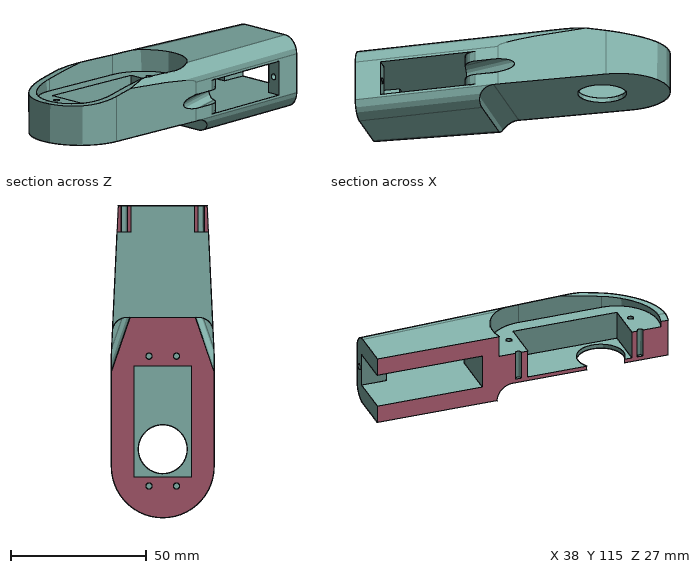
import cadquery as cq
import math

length = 115.0
width = 38.0
height = 27.0
end_radius = width / 2
front_y = -end_radius
back_y = length - end_radius
back_half_width = 16.5
taper_start_y = 41.2
edge_radius = 6.1
mid_z = height / 2
lip_z = height - edge_radius

slope_points = [(0, 23.3), (10.5, 25.6), (19.5, height)]
slope_end_direction = (1, 0.1)

seat_radius = 16.1
seat_back_center_y = 32.8
seat_floor_z = 18.7
servo_half_width = 10.6
servo_front_y = -3.9
servo_back_y = 36.9
servo_floor_z = 7.8
horn_hole_y = 6.3
horn_hole_radius = 9.0
screw_diameter = 2.2
screw_x = 5.1
screw_y_positions = (-7.2, 40.6)

window_front_y = 54.9
window_back_y = 86.2
window_height = 12.9
window_corner_radius = 5.4
cavity_half_width = 11.6
rear_screw_x = 14.1

groove_radius = 2.6
groove_angle = 19.0
groove_tip_y = 34.8
groove_length = 25.3
groove_opening_depth = 9.2

underside_step_y = 48.9

taper = (end_radius - back_half_width) / (back_y - taper_start_y)


def tapered_half_width(y):
    return back_half_width + taper * (back_y - y)


def make_body():
    front_half = tapered_half_width(front_y)
    plan = [
        (-front_half, front_y),
        (front_half, front_y),
        (back_half_width, back_y),
        (-back_half_width, back_y),
    ]
    bar = cq.Workplane("XY").polyline(plan).close().extrude(height)
    long_edges = bar.faces("<Z or >Z").edges("not |X")
    bar = long_edges.fillet(edge_radius)
    outline = (
        cq.Workplane("XY")
        .moveTo(-end_radius, 0)
        .threePointArc((0, front_y), (end_radius, 0))
        .lineTo(end_radius, taper_start_y)
        .lineTo(back_half_width, back_y)
        .lineTo(-back_half_width, back_y)
        .lineTo(-end_radius, taper_start_y)
        .close()
        .extrude(height)
    )
    return bar.intersect(outline)


def make_slope_cut():
    return (
        cq.Workplane("YZ")
        .moveTo(front_y, lip_z)
        .spline(slope_points, tangents=[(1, 0), slope_end_direction], includeCurrent=True)
        .lineTo(front_y, height)
        .close()
        .extrude(end_radius, both=True)
    )


def make_underside_cut():
    """Step below the front half, ending in a quarter-round."""
    arc_center_y = underside_step_y - edge_radius
    diagonal = edge_radius * math.sqrt(0.5)
    return (
        cq.Workplane("YZ")
        .moveTo(front_y, 0)
        .lineTo(underside_step_y, 0)
        .threePointArc((arc_center_y + diagonal, diagonal), (arc_center_y, edge_radius))
        .lineTo(front_y, edge_radius)
        .close()
        .extrude(width, both=True)
    )


def make_seat_cut():
    seat = (
        cq.Workplane("XY", origin=(0, seat_back_center_y / 2, seat_floor_z))
        .slot2D(seat_back_center_y + 2 * seat_radius, 2 * seat_radius, 90)
        .extrude(height - seat_floor_z)
    )
    servo = (
        cq.Workplane("XY", origin=(0, (servo_front_y + servo_back_y) / 2, servo_floor_z))
        .rect(2 * servo_half_width, servo_back_y - servo_front_y)
        .extrude(height - servo_floor_z)
    )
    horn_hole = cq.Workplane("XY").center(0, horn_hole_y).circle(horn_hole_radius).extrude(height)
    screw_points = [(side * screw_x, y) for side in (-1, 1) for y in screw_y_positions]
    screws = (
        cq.Workplane("XY", origin=(0, 0, servo_floor_z))
        .pushPoints(screw_points)
        .circle(screw_diameter / 2)
        .extrude(height - servo_floor_z)
    )
    return seat.union(servo).union(horn_hole).union(screws)


def make_rear_cavity():
    """Cross opening whose front corners flare out to the side faces."""
    flare_y = window_front_y - window_corner_radius
    side_x = tapered_half_width(flare_y)
    inner_x = side_x - window_corner_radius
    diagonal = window_corner_radius * math.sqrt(0.5)
    middle = (inner_x + diagonal, flare_y + diagonal)
    plan = (
        cq.Workplane("XY", origin=(0, 0, mid_z - window_height / 2))
        .moveTo(-inner_x, window_front_y)
        .lineTo(inner_x, window_front_y)
        .threePointArc(middle, (side_x, flare_y))
        .lineTo(width, flare_y)
        .lineTo(width, window_back_y)
        .lineTo(cavity_half_width, window_back_y)
        .lineTo(cavity_half_width, back_y)
        .lineTo(-cavity_half_width, back_y)
        .lineTo(-cavity_half_width, window_back_y)
        .lineTo(-width, window_back_y)
        .lineTo(-width, flare_y)
        .lineTo(-side_x, flare_y)
        .threePointArc((-middle[0], middle[1]), (-inner_x, window_front_y))
        .close()
    )
    cavity = plan.extrude(window_height)
    for side in (-1, 1):
        screw_start = cq.Vector(side * rear_screw_x, window_back_y, mid_z)
        screw = cq.Solid.makeCylinder(
            screw_diameter / 2, back_y - window_back_y, screw_start, cq.Vector(0, 1, 0)
        )
        cavity = cavity.union(cq.Workplane(screw))
    return cavity


def make_groove(side):
    """Round-bottomed channel sinking rearward, its deepest line meeting the side at the tip."""
    angle = math.radians(groove_angle)
    direction = cq.Vector(-side * math.sin(angle), math.cos(angle), 0)
    outward = cq.Vector(side * math.cos(angle), math.sin(angle), 0)
    tip = cq.Vector(side * end_radius, groove_tip_y, mid_z)
    start = tip + outward * groove_radius - direction * groove_radius
    channel_plane = cq.Plane(origin=start, xDir=outward, normal=direction)
    return (
        cq.Workplane(channel_plane)
        .moveTo(0, -groove_radius)
        .threePointArc((-groove_radius, 0), (0, groove_radius))
        .lineTo(groove_opening_depth, groove_radius)
        .lineTo(groove_opening_depth, -groove_radius)
        .close()
        .extrude(groove_length)
    )


result = (
    make_body()
    .cut(make_slope_cut())
    .cut(make_underside_cut())
    .cut(make_seat_cut())
    .cut(make_rear_cavity())
    .cut(make_groove(-1))
    .cut(make_groove(1))
)